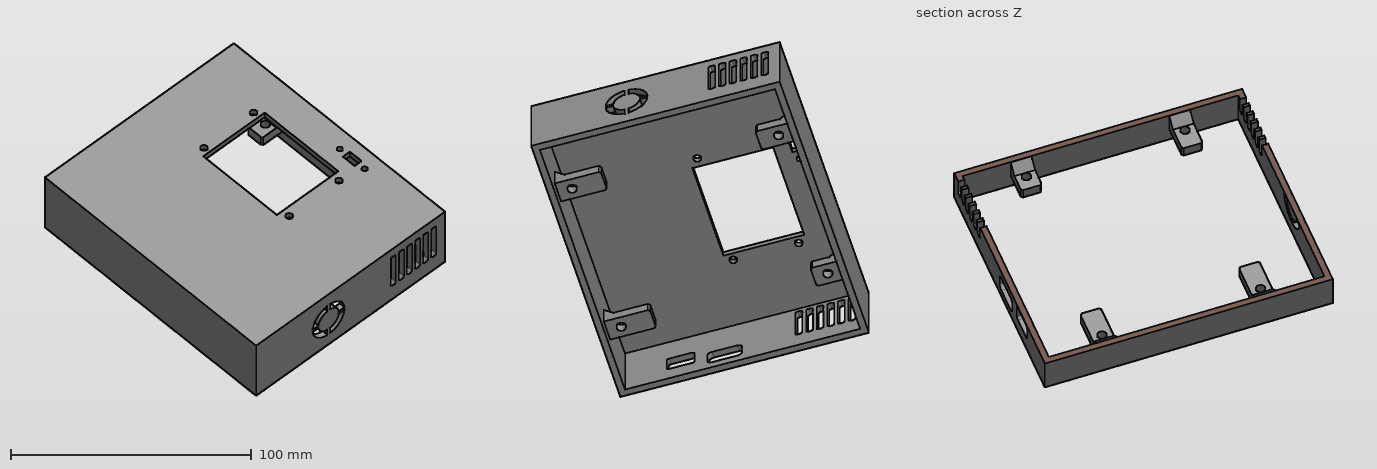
import cadquery as cq

LENGTH = 128.0
DEPTH = 108.0
HEIGHT = 31.6
WALL = 3.0
INNER_BACK = DEPTH - WALL

WINDOW_CENTER = (59.0, 73.5)
WINDOW_LENGTH = 44.5
WINDOW_DEPTH = 35.1
WINDOW_HOLE_CENTER = (59.4, 73.5)
WINDOW_HOLE_SPACING_X = 51.7
WINDOW_HOLE_SPACING_Y = 28.4
WINDOW_HOLE_DIAMETER = 3.2

SWITCH_CENTER = (80.3, 100.0)
SWITCH_LENGTH = 7.0
SWITCH_DEPTH = 4.0
SWITCH_HOLE_SPACING = 15.0
SWITCH_HOLE_DIAMETER = 2.5

SLOT_COUNT = 6
SLOT_WIDTH = 3.0
SLOT_HEIGHT = 18.0
SLOT_PITCH = 4.6
SLOT_CORNER_RADIUS = 1.0
SLOT_GROUP_Y = 90.0
SLOT_CENTER_Z = 17.5

LARGE_PORT_CENTER = (46.2, 8.0)
LARGE_PORT_SIZE = (15.1, 8.0)
LARGE_PORT_RADIUS = 2.0
SMALL_PORT_CENTER = (27.1, 11.5)
SMALL_PORT_SIZE = (12.0, 8.0)
SMALL_PORT_RADIUS = 1.0

GRILLE_CENTER = (41.5, 15.6)
GRILLE_OUTER_RADIUS = 9.1
GRILLE_INNER_RADIUS = 5.9
GRILLE_SPOKE_WIDTH = 1.5

TAB_WIDTH = 9.2
TAB_TOP = 11.5
TAB_THICKNESS = 5.0
TAB_CHAMFER = 0.8
TAB_GUSSET = 4.2
TAB_HOLE_DIAMETER = 4.0
TAB_HOLE_FROM_WALL = TAB_GUSSET + TAB_HOLE_DIAMETER / 2
RIGHT_TAB_X = 99.2
LEFT_TAB_X = LENGTH - RIGHT_TAB_X
FRONT_TAB_REACH = 20.0
BACK_LEFT_TAB_REACH = 12.4
BACK_RIGHT_TAB_REACH = 15.0


def block(center_x, center_y, length, depth, bottom, height):
    """Upright block centred on a point in plan."""
    return (
        cq.Workplane("XY", origin=(center_x, center_y, bottom))
        .rect(length, depth)
        .extrude(height)
    )


def wall_cutter(center, size, radius, start_x, reach):
    """Rounded rectangular cutter running along +X, centred on a (y, z) point."""
    return (
        cq.Workplane("YZ", origin=(start_x, *center))
        .rect(*size)
        .extrude(reach)
        .edges("|X")
        .fillet(radius)
    )


def make_shell():
    outside = block(LENGTH / 2, DEPTH / 2, LENGTH, DEPTH, 0, HEIGHT)
    inside = block(LENGTH / 2, DEPTH / 2, LENGTH - 2 * WALL, DEPTH - 2 * WALL, 0, HEIGHT - WALL)
    return outside.cut(inside)


def roof_holes(center, spacing_x, spacing_y, rows, diameter):
    """Grid of two columns of holes through the roof."""
    return (
        cq.Workplane("XY", origin=(*center, HEIGHT - WALL))
        .rarray(spacing_x, spacing_y, 2, rows)
        .circle(diameter / 2)
        .extrude(WALL)
    )


def make_roof_cutters():
    window = block(*WINDOW_CENTER, WINDOW_LENGTH, WINDOW_DEPTH, HEIGHT - WALL, WALL)
    window_holes = roof_holes(
        WINDOW_HOLE_CENTER, WINDOW_HOLE_SPACING_X, WINDOW_HOLE_SPACING_Y, 2, WINDOW_HOLE_DIAMETER
    )
    switch = block(*SWITCH_CENTER, SWITCH_LENGTH, SWITCH_DEPTH, HEIGHT - WALL, WALL)
    switch_holes = roof_holes(SWITCH_CENTER, SWITCH_HOLE_SPACING, 1.3, 1, SWITCH_HOLE_DIAMETER)
    return [window, window_holes, switch, switch_holes]


def make_slot_cutters():
    """Each cutter runs the full length, so it opens both end walls."""
    cutters = []
    for index in range(SLOT_COUNT):
        slot_y = SLOT_GROUP_Y + (index - (SLOT_COUNT - 1) / 2) * SLOT_PITCH
        center = (slot_y, SLOT_CENTER_Z)
        cutters.append(wall_cutter(center, (SLOT_WIDTH, SLOT_HEIGHT), SLOT_CORNER_RADIUS, 0, LENGTH))
    return cutters


def make_grille_cutter():
    right_wall = cq.Workplane("YZ", origin=(LENGTH - WALL, *GRILLE_CENTER))
    ring = right_wall.circle(GRILLE_OUTER_RADIUS).circle(GRILLE_INNER_RADIUS).extrude(WALL)
    spoke_length = 2 * GRILLE_OUTER_RADIUS
    upright_spoke = right_wall.rect(GRILLE_SPOKE_WIDTH, spoke_length).extrude(WALL)
    level_spoke = right_wall.rect(spoke_length, GRILLE_SPOKE_WIDTH).extrude(WALL)
    return ring.cut(upright_spoke).cut(level_spoke)


def make_tab(center_x, wall_y, reach, direction):
    """Screw tab reaching from a wall along direction (+1 or -1 in Y), with a gusset above it."""
    tip_y = wall_y + direction * reach
    plate = block(
        center_x, (wall_y + tip_y) / 2, TAB_WIDTH, reach, TAB_TOP - TAB_THICKNESS, TAB_THICKNESS
    )
    tip_side = ">Y" if direction > 0 else "<Y"
    plate = plate.faces(tip_side).edges("|Z").chamfer(TAB_CHAMFER)
    gusset = (
        cq.Workplane("YZ", origin=(center_x, wall_y, TAB_TOP))
        .polyline([(0, 0), (direction * TAB_GUSSET, 0), (0, TAB_GUSSET)])
        .close()
        .extrude(TAB_WIDTH / 2, both=True)
    )
    hole = (
        cq.Workplane("XY", origin=(center_x, wall_y + direction * TAB_HOLE_FROM_WALL, 0))
        .circle(TAB_HOLE_DIAMETER / 2)
        .extrude(HEIGHT - WALL)
    )
    return plate.union(gusset).cut(hole)


result = make_shell()

for cutter in make_roof_cutters() + make_slot_cutters():
    result = result.cut(cutter)

result = result.cut(wall_cutter(LARGE_PORT_CENTER, LARGE_PORT_SIZE, LARGE_PORT_RADIUS, 0, WALL))
result = result.cut(wall_cutter(SMALL_PORT_CENTER, SMALL_PORT_SIZE, SMALL_PORT_RADIUS, 0, WALL))
result = result.cut(make_grille_cutter())

result = result.union(make_tab(LEFT_TAB_X, WALL, FRONT_TAB_REACH, 1))
result = result.union(make_tab(RIGHT_TAB_X, WALL, FRONT_TAB_REACH, 1))
result = result.union(make_tab(LEFT_TAB_X, INNER_BACK, BACK_LEFT_TAB_REACH, -1))
result = result.union(make_tab(RIGHT_TAB_X, INNER_BACK, BACK_RIGHT_TAB_REACH, -1))